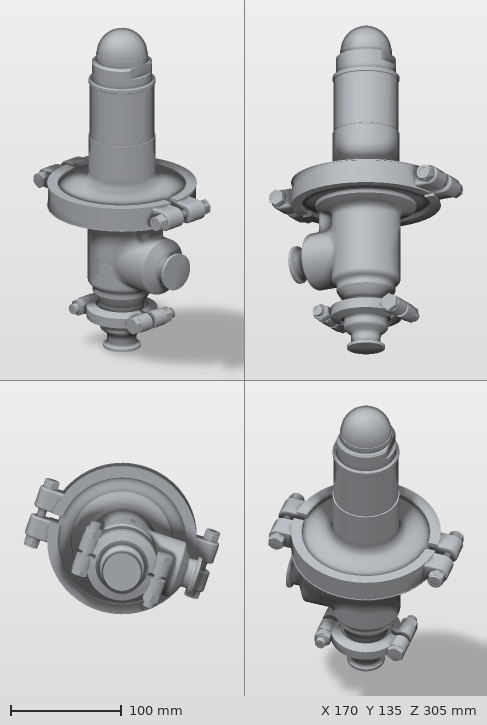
import cadquery as cq
import math

total_height = 305.0

ferrule_radius = 17.0
ferrule_rim = 2.6
ferrule_back = 3.9
ferrule_shoulder_radius = 15.0
ferrule_shoulder_drop = 0.6
neck_radius = 13.3
neck_fillet = 2.0

reducer_radius = 20.0
reducer_angle = math.radians(50)
reducer_top = 18.4
reducer_round = 3.5
reducer_fillet = 5.0

flange_slope = math.radians(19)
small_clamp_z = 33.3
small_flange_radius = 25.25
small_flange_half_rim = 2.85
large_clamp_z = 146.6
large_flange_radius = 59.5
large_flange_half_rim = 5.4

body_radius = 31.1
lower_body_radius = 26.5
lower_cone_bottom = 43.7
lower_cone_top = 54.1
body_step_bottom = 60.2
body_step_top = 63.1
body_step_round = 5.3
body_step_fillet = 4.2
body_top = 127.8
body_top_fillet = 6.0
hub_radius = 45.3
hub_bottom = 133.1
hub_top_radius = 46.0

bonnet_radius = 30.1
bonnet_fillet = 8.0
tube_radius = 29.25
bonnet_top = 203.5
seam_height = 1.2
seam_radius = 28.9
collar_bottom = 253.7
collar_top = 258.0
collar_chamfer = 0.6
cap_radius = 27.25
cap_top = 276.2
cap_chamfer = 1.7
flat_offset = 23.5
flat_bottom = 266.2
dome_seat_radius = 23.5
dome_radius = 23.0
dome_base = total_height - dome_radius

outlet_z = 90.0
outlet_face_x = 70.5
outlet_radius = 26.0
outlet_cone_angle = math.radians(60)
outlet_cone_x = 52.2
outlet_round = 2.3
outlet_blend = 10.0
barrel_taper_top = 72.0
barrel_taper_round = 15.0

rib_end_x = 43.5
rib_half_width = 12.0
rib_corner_radius = 4.6
rib_foot_fillet = 2.5
rib_overlap = 2.0

mark_width = 4.6
mark_bottom = 76.0
mark_end_x = 15.0
mark_depth = 0.5

bolt_end_recess = 0.5

large_bore_chamfer = 0.8
large_clamp_radius = 67.5
large_clamp_wall_radius = 66.9
large_clamp_bore = 57.7
large_clamp_half_height = 11.0
large_clamp_lip = 0.9
large_clamp_half_gap = 4.0
lug_x = 76.0
lug_radius = 9.0
lug_end_y = 23.4
lug_inner_x = 61.0
lug_edge_fillet = 1.8
large_bolt_radius = 4.0
large_hex_width = 13.0
large_head_length = 7.4
large_nut_length = 7.0
large_nut_tip_radius = 6.5
large_nut_tip_length = 2.2

small_clamp_radius = 32.0
small_clamp_bore = 23.8
small_clamp_half_height = 7.7
small_clamp_half_wall = 4.6
small_clamp_half_gap = 2.3
barrel_x = 34.2
barrel_radius = 7.9
barrel_end_y = 15.8
small_bolt_radius = 3.5
small_hex_width = 14.0
small_head_length = 5.0
small_nut_length = 7.3
small_nut_collar_radius = 6.25
small_nut_collar_length = 1.2
small_nut_tip_radius = 4.72
small_nut_tip_length = 4.8


def turned(corners):
    """Solid of revolution about Z from (radius, z, rounding radius) corners.

    The first and last corner lie on the axis; a rounding radius of 0 leaves a corner sharp.
    """
    profile = cq.Workplane("XZ").moveTo(*corners[0][:2])
    here = cq.Vector(*corners[0][:2])
    for before, corner, after in zip(corners, corners[1:], corners[2:]):
        point = cq.Vector(*corner[:2])
        rounding = corner[2]
        if rounding == 0:
            profile = profile.lineTo(point.x, point.y)
            here = point
            continue
        back = (cq.Vector(*before[:2]) - point).normalized()
        ahead = (cq.Vector(*after[:2]) - point).normalized()
        half_angle = back.getAngle(ahead) / 2
        tangent = rounding / math.tan(half_angle)
        start = point + back * tangent
        end = point + ahead * tangent
        bisector = (back + ahead).normalized()
        middle = point + bisector * (rounding / math.sin(half_angle) - rounding)
        if (start - here).Length > 1e-6:
            profile = profile.lineTo(start.x, start.y)
        profile = profile.threePointArc((middle.x, middle.y), (end.x, end.y))
        here = end
    last = cq.Vector(*corners[-1][:2])
    if (last - here).Length > 1e-6:
        profile = profile.lineTo(last.x, last.y)
    return profile.close().revolve(360, (0, 0), (0, 1))


def ferrule_corners():
    """Pipe-end ferrule with its face at z = 0 and its neck running towards +Z."""
    return [
        (0, 0, 0),
        (ferrule_radius, 0, 0),
        (ferrule_radius, ferrule_rim, 0),
        (ferrule_shoulder_radius, ferrule_back - ferrule_shoulder_drop, 0),
        (neck_radius, ferrule_back, neck_fillet),
    ]


def flange_rise(rim_radius, radius):
    """Height that a clamped flange's sloped back gains between its rim and a smaller radius."""
    return (rim_radius - radius) * math.tan(flange_slope)


def rod(x, z, radius, y_start, y_end):
    """Round rod parallel to Y."""
    length = y_end - y_start
    return cq.Workplane("XZ", origin=(x, y_start, z)).circle(radius).extrude(-length)


def valve_spindle():
    """All the turned parts of the valve on the Z axis, from inlet to dome."""
    reducer_bottom = reducer_top - (reducer_radius - neck_radius) / math.tan(reducer_angle)
    small_rise = flange_rise(small_flange_radius, reducer_radius)
    small_back = small_flange_half_rim + small_rise
    hub_rise = flange_rise(large_flange_radius, hub_top_radius)
    bonnet_rise = flange_rise(large_flange_radius, bonnet_radius)
    bonnet_seam = bonnet_top + seam_height
    corners = ferrule_corners() + [
        (neck_radius, reducer_bottom, reducer_fillet),
        (reducer_radius, reducer_top, reducer_round),
        (reducer_radius, small_clamp_z - small_back, 0),
        (small_flange_radius, small_clamp_z - small_flange_half_rim, 0),
        (small_flange_radius, small_clamp_z + small_flange_half_rim, 0),
        (reducer_radius, small_clamp_z + small_back, 0),
        (reducer_radius, lower_cone_bottom, 0),
        (lower_body_radius, lower_cone_top, 0),
        (lower_body_radius, body_step_bottom, body_step_fillet),
        (body_radius, body_step_top, body_step_round),
        (body_radius, body_top, body_top_fillet),
        (hub_radius, hub_bottom, 0),
        (hub_top_radius, large_clamp_z - large_flange_half_rim - hub_rise, 0),
        (large_flange_radius, large_clamp_z - large_flange_half_rim, 0),
        (large_flange_radius, large_clamp_z + large_flange_half_rim, 0),
        (bonnet_radius, large_clamp_z + large_flange_half_rim + bonnet_rise, bonnet_fillet),
        (bonnet_radius, bonnet_top, 0),
        (seam_radius, bonnet_top, 0),
        (seam_radius, bonnet_seam, 0),
        (tube_radius, bonnet_seam, 0),
        (tube_radius, collar_bottom, 0),
        (bonnet_radius, collar_bottom + collar_chamfer, 0),
        (bonnet_radius, collar_top - collar_chamfer, 0),
        (bonnet_radius - collar_chamfer, collar_top, 0),
        (cap_radius, collar_top, 0),
        (cap_radius, cap_top - cap_chamfer, 0),
        (cap_radius - cap_chamfer, cap_top, 0),
        (dome_seat_radius, cap_top, 0),
        (dome_seat_radius, dome_base, 0),
        (dome_radius, dome_base, 0),
        (dome_radius, total_height, dome_radius),
        (0, total_height, 0),
    ]
    return turned(corners)


def outlet_branch():
    """Side outlet from the valve axis to its ferrule face."""
    cone_wide = outlet_face_x - outlet_cone_x
    cone_narrow = cone_wide - (outlet_radius - neck_radius) / math.tan(outlet_cone_angle)
    corners = ferrule_corners() + [
        (neck_radius, cone_narrow, neck_fillet),
        (outlet_radius, cone_wide, outlet_round),
        (outlet_radius, outlet_face_x, 0),
        (0, outlet_face_x, 0),
    ]
    branch = turned(corners)
    return branch.rotate((0, 0, 0), (0, 1, 0), -90).translate((outlet_face_x, 0, outlet_z))


def rib():
    """Upright rib on the +X side that joins the outlet to the hub."""
    rib_top = hub_bottom + rib_overlap
    block = cq.Workplane("XY", origin=(rib_end_x / 2, 0, outlet_z))
    block = block.rect(rib_end_x, 2 * rib_half_width).extrude(rib_top - outlet_z)
    return block.edges("|Z and >X").fillet(rib_corner_radius)


def blended_outlet():
    """Side outlet on a plain tapered barrel that lies within the body, with their corner rounded."""
    barrel = turned([
        (0, lower_cone_top, 0),
        (lower_body_radius, lower_cone_top, 0),
        (lower_body_radius, body_step_bottom, 0),
        (body_radius, barrel_taper_top, barrel_taper_round),
        (body_radius, body_top, 0),
        (0, body_top, 0),
    ])
    junction = cq.selectors.BoxSelector(
        (0, -body_radius, lower_cone_top), (outlet_cone_x - outlet_blend, body_radius, body_top)
    )
    return barrel.union(outlet_branch()).edges("%BSPLINE").edges(junction).fillet(outlet_blend)


def body_with_outlet():
    """Turned valve parts, side outlet and rib, joined with rounded inner corners."""
    valve = valve_spindle().union(blended_outlet())
    foot_depth = rib_half_width + 1
    rib_foot = cq.selectors.BoxSelector(
        (body_radius - 6, -foot_depth, outlet_z + 18),
        (rib_end_x + 1, foot_depth, hub_bottom + 1),
        boundingbox=True,
    )
    valve = valve.union(rib())
    return valve.edges(rib_foot).edges("not %LINE").fillet(rib_foot_fillet)


def cap_flats():
    """Cutters for the two spanner flats on the +X and -X sides of the cap."""
    width = cap_radius
    blank = cq.Workplane("XY").box(width, 2 * cap_radius, cap_top - flat_bottom, centered=(False, True, False))
    right = blank.translate((flat_offset, 0, flat_bottom))
    return right.union(right.mirror("YZ"))


def flow_mark():
    """Cutter for the bent flow mark, half a millimetre deep in the -Y side of the body."""
    half = mark_width / 2
    bend_x = half - mark_width * math.cos(math.pi / 4)
    bend_z = outlet_z - half + mark_width * math.sin(math.pi / 4)
    outline = (
        cq.Workplane("XZ")
        .moveTo(-half, mark_bottom)
        .lineTo(-half, outlet_z - half)
        .threePointArc((bend_x, bend_z), (half, outlet_z + half))
        .lineTo(mark_end_x, outlet_z + half)
        .lineTo(mark_end_x, outlet_z - half)
        .lineTo(half, outlet_z - half)
        .lineTo(half, mark_bottom)
        .close()
        .extrude(body_radius + 1)
    )
    core = cq.Workplane("XY").circle(body_radius - mark_depth).extrude(body_top)
    return outline.cut(core)


valve = body_with_outlet().cut(cap_flats()).cut(flow_mark())


def hex_prism(x, z, width, y_start, length):
    """Hexagonal prism along +Y, with flats facing X and a chamfered outer end."""
    corner_diameter = width / math.cos(math.pi / 6)
    prism = cq.Workplane("XZ", origin=(x, y_start, z)).transformed(rotate=(0, 0, 30))
    prism = prism.polygon(6, corner_diameter).extrude(-length)
    corner_radius = corner_diameter / 2
    trim = cq.Workplane("XZ", origin=(x, y_start, z)).circle(corner_radius).extrude(-length)
    trim = trim.faces(">Y").chamfer(corner_radius / 15, corner_radius - width / 2)
    return prism.intersect(trim)


def clamp_bolt(x, z, end_y, radius, hex_width, head_length, nut_length, nut_steps):
    """Bolt along Y with its head at -Y and its nut at +Y.

    nut_steps lists the radius and length of each round step beyond the nut's hexagon. The
    bolt end sits slightly below the rim of the last step.
    """
    bolt = hex_prism(x, z, hex_width, end_y, head_length).mirror("XZ")
    bolt = bolt.union(hex_prism(x, z, hex_width, end_y, nut_length))
    bolt = bolt.union(rod(x, z, radius, -end_y, end_y))
    step_start = end_y + nut_length
    for step_radius, step_length in nut_steps:
        bolt = bolt.union(rod(x, z, step_radius, step_start, step_start + step_length))
        step_start += step_length
    return bolt.cut(rod(x, z, radius, step_start - bolt_end_recess, step_start))


def both_sides(hinge):
    """One fastening and its copy, turned half a turn about Z."""
    return hinge.union(hinge.rotate((0, 0, 0), (0, 0, 1), 180))


def clamp_gap(radius, half_gap, z, half_height):
    """Cutter that splits a clamp ring into its front and back halves."""
    return cq.Workplane("XY", origin=(0, 0, z)).box(2 * radius, 2 * half_gap, 2 * half_height)


def large_ring():
    """Ring of the large clamp, with narrow lips at the top and bottom of its outer wall."""
    low = large_clamp_z - large_clamp_half_height
    high = large_clamp_z + large_clamp_half_height
    ring = turned([
        (0, low, 0),
        (large_clamp_radius, low, 0),
        (large_clamp_radius, low + large_clamp_lip, 0),
        (large_clamp_wall_radius, low + large_clamp_lip, 0),
        (large_clamp_wall_radius, high - large_clamp_lip, 0),
        (large_clamp_radius, high - large_clamp_lip, 0),
        (large_clamp_radius, high, 0),
        (0, high, 0),
    ])
    bore = cq.Workplane("XY", origin=(0, 0, low)).circle(large_clamp_bore).extrude(high - low)
    ring = ring.cut(bore).edges("%CIRCLE").edges(cq.selectors.RadiusNthSelector(0)).chamfer(large_bore_chamfer)
    return ring.cut(clamp_gap(large_clamp_radius, large_clamp_half_gap, large_clamp_z, large_clamp_half_height))


def large_lug():
    """Lug of the back half of the large clamp on the -X side, with a rounded outer end."""
    length = lug_end_y - large_clamp_half_gap
    barrel = rod(-lug_x, large_clamp_z, lug_radius, large_clamp_half_gap, lug_end_y)
    web = cq.Workplane("XY", origin=(-lug_x, large_clamp_half_gap, large_clamp_z))
    web = web.box(lug_x - lug_inner_x, length, 2 * lug_radius, centered=(False, False, True))
    lug = barrel.union(web)
    return lug.edges("<Y or >Y").edges("<X or >Z or <Z").fillet(lug_edge_fillet)


def large_clamp():
    """Large clamp: split ring, four lugs and two bolts."""
    lug = large_lug()
    bolt = clamp_bolt(
        -lug_x, large_clamp_z, lug_end_y, large_bolt_radius, large_hex_width,
        large_head_length, large_nut_length, [(large_nut_tip_radius, large_nut_tip_length)],
    )
    hinge = lug.union(lug.mirror("XZ")).union(bolt)
    return large_ring().union(both_sides(hinge)).cut(valve)


def small_ring():
    """Ring of the small clamp, with sloped shoulders above and below its outer wall."""
    low = small_clamp_z - small_clamp_half_height
    high = small_clamp_z + small_clamp_half_height
    ring = turned([
        (0, low, 0),
        (small_clamp_bore, low, 0),
        (small_clamp_radius, small_clamp_z - small_clamp_half_wall, 0),
        (small_clamp_radius, small_clamp_z + small_clamp_half_wall, 0),
        (small_clamp_bore, high, 0),
        (0, high, 0),
    ])
    bore = cq.Workplane("XY", origin=(0, 0, low)).circle(small_clamp_bore).extrude(high - low)
    return ring.cut(bore).cut(
        clamp_gap(small_clamp_radius, small_clamp_half_gap, small_clamp_z, small_clamp_half_height)
    )


def small_clamp():
    """Small clamp: split ring, four barrels and two bolts."""
    barrel = rod(barrel_x, small_clamp_z, barrel_radius, small_clamp_half_gap, barrel_end_y)
    bolt = clamp_bolt(
        barrel_x, small_clamp_z, barrel_end_y, small_bolt_radius, small_hex_width,
        small_head_length, small_nut_length,
        [(small_nut_collar_radius, small_nut_collar_length), (small_nut_tip_radius, small_nut_tip_length)],
    )
    hinge = barrel.union(barrel.mirror("XZ")).union(bolt)
    return small_ring().union(both_sides(hinge)).cut(valve)


result = cq.Compound.makeCompound([valve.val(), large_clamp().val(), small_clamp().val()])